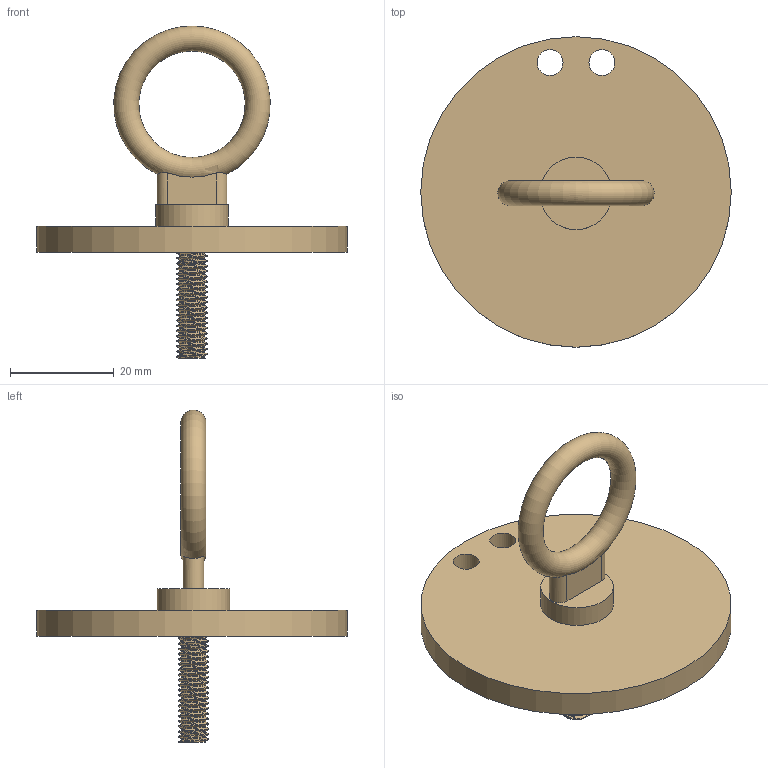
import cadquery as cq
import math

DISC_DIAMETER = 60
DISC_THICKNESS = 5
SIDE_HOLE_DIAMETER = 5
SIDE_HOLE_SPACING = 10
SIDE_HOLE_OFFSET = 25

BOLT_OFFSET_Y = -0.28
OVERALL_HEIGHT = 64.15
STUD_LENGTH = 20.45
COLLAR_DIAMETER = 14
COLLAR_HEIGHT = 4.2
NECK_WIDTH = 13.5
NECK_THICKNESS = 4
RING_OUTER_DIAMETER = 30.25
RING_WIRE_DIAMETER = 4.85

THREAD_MAJOR_DIAMETER = 5.88
THREAD_MINOR_DIAMETER = 4.74
THREAD_PITCH = 1
THREAD_CREST_WIDTH = THREAD_PITCH / 8
FLANK_HALF_ANGLE = 30
FIRST_CREST_DEPTH = 0.7
ROOT_OVERLAP = 0.1
CORE_OVERRUN = 5 * THREAD_PITCH

disc_top = DISC_THICKNESS
collar_top = disc_top + COLLAR_HEIGHT
ring_path_radius = (RING_OUTER_DIAMETER - RING_WIRE_DIAMETER) / 2
ring_center_height = OVERALL_HEIGHT - STUD_LENGTH - RING_OUTER_DIAMETER / 2
neck_top = ring_center_height - ring_path_radius


def cylinder(diameter, bottom, top):
    """Solid cylinder on the Z axis."""
    return cq.Workplane("XY").workplane(offset=bottom).circle(diameter / 2).extrude(top - bottom)


def make_disc():
    """Round disc with a bore for the bolt shank and two holes near the rim."""
    bore = cylinder(THREAD_MAJOR_DIAMETER, 0, disc_top).translate((0, BOLT_OFFSET_Y, 0))
    half_spacing = SIDE_HOLE_SPACING / 2
    side_holes = (
        cq.Workplane("XY")
        .pushPoints([(-half_spacing, SIDE_HOLE_OFFSET), (half_spacing, SIDE_HOLE_OFFSET)])
        .circle(SIDE_HOLE_DIAMETER / 2)
        .extrude(disc_top)
    )
    return cylinder(DISC_DIAMETER, 0, disc_top).cut(bore).cut(side_holes)


def make_thread_ridge():
    """Helical ridge that runs past both ends of the threaded length."""
    ridge_start = -FIRST_CREST_DEPTH - math.ceil(STUD_LENGTH / THREAD_PITCH + 1) * THREAD_PITCH
    ridge_length = THREAD_PITCH - ridge_start
    minor_radius = THREAD_MINOR_DIAMETER / 2
    crest_radius = THREAD_MAJOR_DIAMETER / 2
    base_radius = minor_radius - ROOT_OVERLAP
    half_crest = THREAD_CREST_WIDTH / 2
    half_base = half_crest + (crest_radius - base_radius) * math.tan(math.radians(FLANK_HALF_ANGLE))
    helix = cq.Wire.makeHelix(THREAD_PITCH, ridge_length, minor_radius, center=cq.Vector(0, 0, ridge_start))
    profile = cq.Workplane("XZ").polyline([
        (base_radius, ridge_start - half_base),
        (crest_radius, ridge_start - half_crest),
        (crest_radius, ridge_start + half_crest),
        (base_radius, ridge_start + half_base),
    ]).close()
    return profile.sweep(cq.Workplane(obj=helix), isFrenet=True)


def make_threaded_stud():
    """Core with the thread ridge, trimmed flat at the disc and at the free end."""
    core = cylinder(THREAD_MINOR_DIAMETER, -STUD_LENGTH - CORE_OVERRUN, CORE_OVERRUN)
    trim_diameter = THREAD_MAJOR_DIAMETER + THREAD_PITCH
    trim_block = cylinder(trim_diameter, -STUD_LENGTH, 0)
    return core.union(make_thread_ridge()).intersect(trim_block)


def make_ring():
    """Upright ring of round wire in the XZ plane."""
    return cq.Workplane(obj=cq.Solid.makeTorus(
        ring_path_radius,
        RING_WIRE_DIAMETER / 2,
        cq.Vector(0, 0, ring_center_height),
        cq.Vector(0, 1, 0),
    ))


def make_eye_bolt():
    """Threaded stud, plain shank inside the disc, collar, flat neck and ring."""
    shank = cylinder(THREAD_MAJOR_DIAMETER, 0, disc_top)
    collar = cylinder(COLLAR_DIAMETER, disc_top, collar_top)
    neck = (
        cq.Workplane("XY")
        .workplane(offset=collar_top)
        .slot2D(NECK_WIDTH, NECK_THICKNESS)
        .extrude(neck_top - collar_top)
    )
    return make_threaded_stud().union(shank).union(collar).union(neck).union(make_ring())


disc = make_disc()
eye_bolt = make_eye_bolt().translate((0, BOLT_OFFSET_Y, 0))
result = cq.Compound.makeCompound([disc.val(), *eye_bolt.solids().vals()])